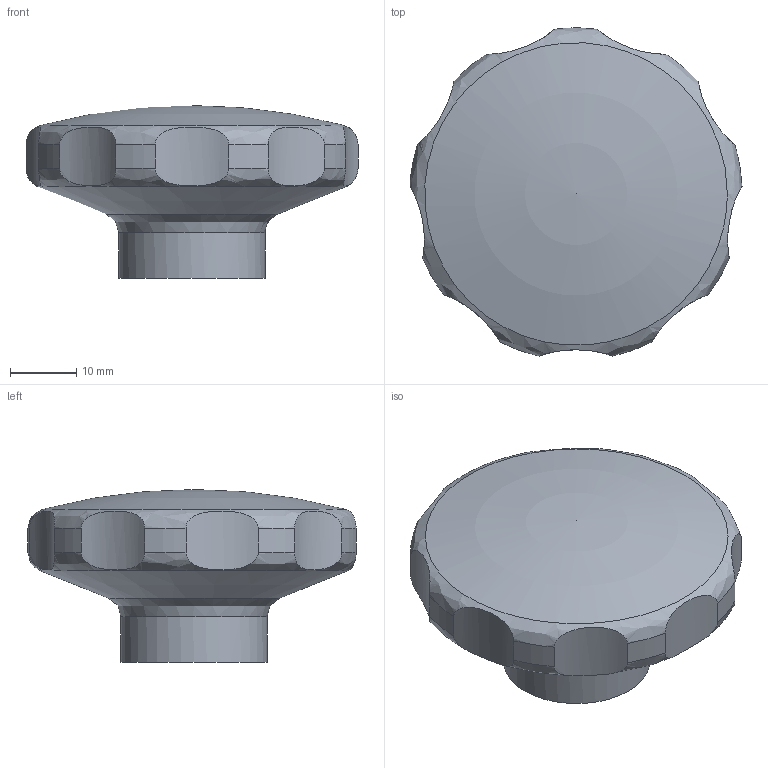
import cadquery as cq
import math

height = 26.0
rim_radius = 25.0
stem_radius = 11.0

stem_top = 8.9
rim_bottom = 14.53
rim_top = 22.42
edge_rounding = 3.0

scallop_count = 9
scallop_depth = 1.57
scallop_radius = 16.5
scallop_center_distance = rim_radius - scallop_depth + scallop_radius
first_scallop_angle = -90.0

dome_rise = height - rim_top
dome_radius = (rim_radius**2 + dome_rise**2) / (2 * dome_rise)
dome_center_z = height - dome_radius


def dome_height_at(radius):
    """Height of the domed top at a given distance from the axis."""
    return dome_center_z + math.sqrt(dome_radius**2 - radius**2)


def make_knob_body():
    """Revolved stem, conical underside, rim and domed top, with rounded corners."""
    mid_radius = rim_radius / 2
    body = (
        cq.Workplane("XZ")
        .lineTo(stem_radius, 0)
        .lineTo(stem_radius, stem_top)
        .lineTo(rim_radius, rim_bottom)
        .lineTo(rim_radius, rim_top)
        .threePointArc((mid_radius, dome_height_at(mid_radius)), (0, height))
        .close()
        .revolve(360, (0, 0, 0), (0, 1, 0))
    )
    above_base = cq.selectors.BoxSelector(
        (-rim_radius, -rim_radius, stem_top / 2),
        (rim_radius, rim_radius, height),
        boundingbox=False,
    )
    circles = body.edges("%CIRCLE").edges(above_base)
    corner_circles = circles.filter(lambda edge: edge.IsClosed())
    return corner_circles.fillet(edge_rounding)


def cut_scallops(body):
    """Cut the scallops one by one, since neighbouring cutters overlap outside the rim."""
    for index in range(scallop_count):
        angle = math.radians(first_scallop_angle + index * 360 / scallop_count)
        center_x = scallop_center_distance * math.cos(angle)
        center_y = scallop_center_distance * math.sin(angle)
        cutter = cq.Workplane("XY").center(center_x, center_y).circle(scallop_radius).extrude(height)
        body = body.cut(cutter)
    return body


result = cut_scallops(make_knob_body())